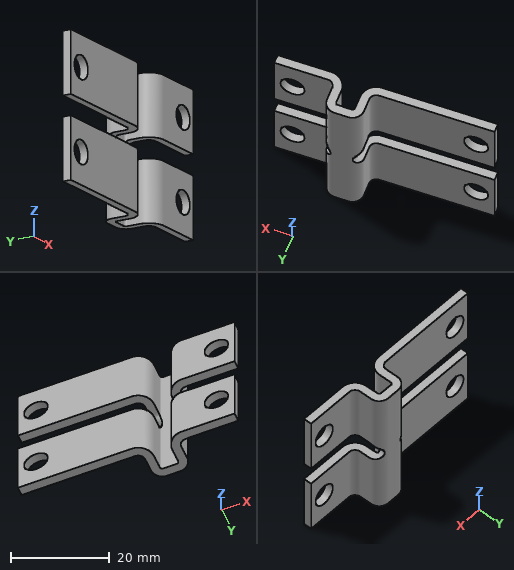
import cadquery as cq
import math

length = 47.6
depth = 9.0
height = 32.0
thickness = 2.0
left_flange = 25.0
crown_gap = 4.0
crown_inner_radius = thickness / 4
crown_outer_radius = crown_inner_radius + thickness
foot_inner_radius = thickness * 3 / 4
foot_outer_radius = foot_inner_radius + thickness

hole_diameter = 5.2
hole_end_offset = 4.0
hole_edge_offset = 7.0

slot_width = 4.47
slot_radius = slot_width / 2
slot_end_start = 0.65
neutral_radius = crown_inner_radius + 0.4 * thickness

gap_left = left_flange + foot_outer_radius
gap_right = gap_left + crown_gap
crown_middle = gap_left + crown_gap / 2
right_flange_start = gap_right + foot_outer_radius
crown_bend_x = gap_left + crown_inner_radius
crown_bend_y = depth - crown_outer_radius


def bent_strip():
    """Strip of constant thickness, with its profile in the XY plane."""
    outer_left = gap_left - thickness
    outer_right = gap_right + thickness
    crown_flat_right = gap_right - crown_inner_radius
    profile = (
        cq.Workplane("XY", origin=(0, 0, -height / 2))
        .lineTo(left_flange, 0)
        .radiusArc((gap_left, foot_outer_radius), -foot_outer_radius)
        .lineTo(gap_left, crown_bend_y)
        .radiusArc((crown_bend_x, depth - thickness), crown_inner_radius)
        .lineTo(crown_flat_right, depth - thickness)
        .radiusArc((gap_right, crown_bend_y), crown_inner_radius)
        .lineTo(gap_right, foot_outer_radius)
        .radiusArc((right_flange_start, 0), -foot_outer_radius)
        .lineTo(length, 0)
        .lineTo(length, thickness)
        .lineTo(right_flange_start, thickness)
        .radiusArc((outer_right, foot_outer_radius), foot_inner_radius)
        .lineTo(outer_right, crown_bend_y)
        .radiusArc((crown_flat_right, depth), -crown_outer_radius)
        .lineTo(crown_bend_x, depth)
        .radiusArc((outer_left, crown_bend_y), -crown_outer_radius)
        .lineTo(outer_left, foot_outer_radius)
        .radiusArc((left_flange, thickness), foot_inner_radius)
        .lineTo(0, thickness)
        .close()
    )
    return profile.extrude(height)


def holes():
    """Cutter for the hole at each corner."""
    hole_x = length / 2 - hole_end_offset
    hole_z = height / 2 - hole_edge_offset
    return (
        cq.Workplane("XZ", origin=(length / 2, thickness, 0))
        .pushPoints([(x, z) for x in (-hole_x, hole_x) for z in (-hole_z, hole_z)])
        .circle(hole_diameter / 2)
        .extrude(thickness)
    )


bend_half_width = math.sqrt(slot_radius**2 - slot_end_start**2)


def straight_slot():
    """Cutter through flanges and walls, up to the start of the crown bends."""
    round_start = crown_bend_y - slot_end_start
    diagonal = math.asin(slot_end_start / slot_radius) / 2
    arc_y = round_start + slot_radius * math.sin(diagonal)
    arc_z = slot_radius * math.cos(diagonal)
    return (
        cq.Workplane("YZ")
        .moveTo(0, -slot_radius)
        .lineTo(round_start, -slot_radius)
        .threePointArc((arc_y, -arc_z), (crown_bend_y, -bend_half_width))
        .lineTo(crown_bend_y, bend_half_width)
        .threePointArc((arc_y, arc_z), (round_start, slot_radius))
        .lineTo(0, slot_radius)
        .close()
        .extrude(length)
    )


def wrapped_edge(radius, side):
    """Half of the round slot end, wrapped around the left crown bend at the given radius."""
    steps = 12
    first = math.asin(slot_end_start / slot_radius)
    points = []
    for i in range(steps + 1):
        turn = first + (math.pi / 2 - first) * i / steps
        bend_angle = (slot_radius * math.sin(turn) - slot_end_start) / neutral_radius
        points.append(cq.Vector(
            crown_bend_x - radius * math.cos(bend_angle),
            crown_bend_y + radius * math.sin(bend_angle),
            side * slot_radius * math.cos(turn),
        ))
    points[-1].z = 0
    return cq.Edge.makeSpline(points)


def wrapped_slot_end():
    """Cutter for the left crown bend; its walls run radially through the sheet."""
    inside = crown_inner_radius / 2
    outside = crown_outer_radius + crown_inner_radius
    inner_edges = [wrapped_edge(inside, side) for side in (-1, 1)]
    outer_edges = [wrapped_edge(outside, side) for side in (-1, 1)]
    corners = [
        inner_edges[0].startPoint(),
        inner_edges[1].startPoint(),
        outer_edges[1].startPoint(),
        outer_edges[0].startPoint(),
    ]
    faces = [
        cq.Face.makeRuledSurface(*inner_edges),
        cq.Face.makeRuledSurface(*outer_edges),
        cq.Face.makeRuledSurface(inner_edges[0], outer_edges[0]),
        cq.Face.makeRuledSurface(inner_edges[1], outer_edges[1]),
        cq.Face.makeFromWires(cq.Wire.makePolygon(corners, close=True)),
    ]
    cutter = cq.Solid.makeSolid(cq.Shell.makeShell(faces))
    return cq.Workplane(cutter.fix())


slot_end = wrapped_slot_end()
opposite_slot_end = slot_end.mirror("YZ", (crown_middle, 0, 0))

result = (
    bent_strip()
    .cut(holes())
    .cut(straight_slot())
    .cut(slot_end)
    .cut(opposite_slot_end)
)